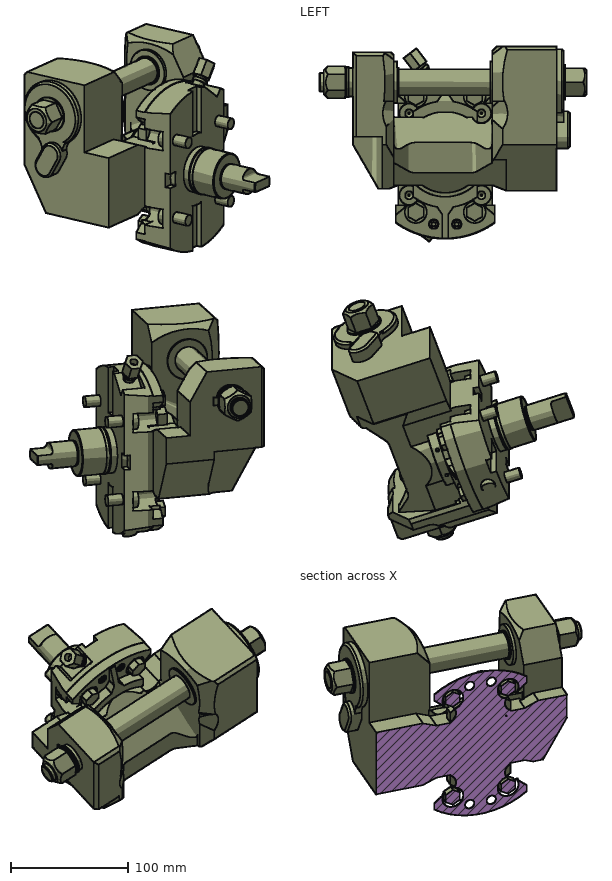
import cadquery as cq
import math

TAN30 = math.tan(math.radians(30))
TAN60 = math.tan(math.radians(60))
HEX_RATIO = 2 / math.sqrt(3)
FAR = 457
OVERLAP = 1.1

body_left = -113.3
body_right = -24.7
body_bottom = -31.3
ledge_z = 31.5
bevel_start_z = 8.2
edge_chamfer = 3.0

front_outer = -95.0
front_inner = -40.0
front_top = 92.0
front_back_x = -50.0
front_inner_bevel = 9.0
front_top_bevel = 3.9
front_top_arc = 59.5
front_side_arc = 84.5

rear_inner = 43.9
rear_outer = 78.8
rear_top = 87.0
rear_bottom = -29.5
rear_back_x = -46.0
rear_slope_x = -61.0
rear_inner_bevel = 6.5
rear_top_bevel = 2.3
rear_top_arc = 66.3
rear_side_bevel = 7.5
rear_side_arc = 137.0
rear_recess_top = 15.0
rear_recess_y = 54.0
rear_recess_depth = 45.7
rear_recess_radius = 9.8

base_bevel_y = 52.5
base_bevel_inner_y = 40.2
base_bevel_z = 26.5

saddle_left = -101.5
saddle_right = -49.4
saddle_face_x = -86.8
saddle_face_top = 10.0
saddle_face_bottom = -15.8
saddle_mid_y = (front_inner + rear_inner) / 2
saddle_face_half = 27.0
saddle_recess_half = 41.8
saddle_recess_radius = 8.0
saddle_top_z = 31.8
saddle_fillet_low = 7.5
saddle_fillet_high = 0.7
undercut_y = -51.9
hub_radius = 33.0
bearing_radius = 36.3
bearing_left = -51.6
oil_hole_radius = 1.4
oil_hole_depth = 4.5
oil_hole_angle = 20

pivot_x = -81.8
pivot_z = 61.5
rod_radius = 11.2

flange_radius = 72.2
flange_half_width = 42.3
taper_start_x = -19.9
flange_face_half = 39.0
key_width = 12.5
key_depth = 5.0
key_inner_radius = 32.0
screw_y = 30.8
screw_z = 35.0
counterbore_radius = 8.5
screw_clearance_radius = 8.5
hollow_radius = 22.5
hollow_depth = 10.5
hollow_top_z = 45.2
corners = [(sy * screw_y, sz * screw_z) for sy in (-1, 1) for sz in (-1, 1)]

cover_x = -33.5
cover_radius = 71.7
ring_x = -42.0
ring_radius = 45.5
rib_width = 5.0
rib_tip_x = -35.0
rib_flare = 4.0
cover_bolt_y = 25.1
cover_bolt_z = 49.4
set_screw_y = 9.8
set_screw_z = 59.6

fitting_x = -11.5
fitting_tilt = 37.3
fitting_offset = -28.3
fitting_seat = 63.3
plug_end = 67.6


def box(x0, x1, y0, y1, z0, z1):
    return cq.Workplane("XY").box(x1 - x0, y1 - y0, z1 - z0, centered=False).translate((x0, y0, z0))


def cyl_x(x0, x1, radius, y=0, z=0):
    return cq.Workplane("YZ", origin=(x0, y, z)).circle(radius).extrude(x1 - x0)


def cyl_y(y0, y1, radius, x=pivot_x, z=pivot_z):
    return cq.Workplane("XZ", origin=(x, y0, z)).circle(radius).extrude(y0 - y1)


def cyl_z(z0, z1, radius):
    return cq.Workplane("XY", origin=(0, 0, z0)).circle(radius).extrude(z1 - z0)


def prism_y(points, y0, y1):
    """Extrude an X-Z outline from y0 to y1."""
    return cq.Workplane("XZ", origin=(0, y0, 0)).polyline(points).close().extrude(y0 - y1)


def prism_x(points, x0, x1):
    """Extrude a Y-Z outline from x0 to x1."""
    return cq.Workplane("YZ", origin=(x0, 0, 0)).polyline(points).close().extrude(x1 - x0)


def prism_z(points, z0, z1):
    """Extrude an X-Y outline from z0 to z1."""
    return cq.Workplane("XY", origin=(0, 0, z0)).polyline(points).close().extrude(z1 - z0)


def hex_x(x0, x1, flats, y, z):
    """Hexagon along X with corners at +Z and -Z."""
    head = cq.Workplane("YZ").polygon(6, flats * HEX_RATIO).extrude(x1 - x0)
    return head.rotate((0, 0, 0), (1, 0, 0), 30).translate((x0, y, z))


def bevel_60_x(z):
    """X of the steep front bevel at height z."""
    return body_left + (bevel_start_z - z) / TAN60


def saddle_top(x):
    return saddle_face_top + (x - saddle_face_x) * TAN30


def saddle_bottom(x):
    return saddle_face_bottom - (x - saddle_face_x) * TAN30


def bulged_bevel(inner_y, outward, center_x, center_z, radius):
    """Space kept by a 45 degree bevel that follows a circle on the inner face of an arm."""
    depth = 27.5
    cone = cq.Solid.makeCone(radius, radius + depth, depth,
                             cq.Vector(center_x, inner_y, center_z), cq.Vector(0, outward, 0))
    behind = cyl_y(inner_y + outward * depth, inner_y + outward * FAR, FAR, center_x, center_z)
    return cq.Workplane(cone).union(behind)


def bevel_upper_arm(arm, inner_y, outward, top, top_bevel, top_arc, side_bevel, side_arc):
    """Bevels the top and -X edges of an arm's inner face, down to the hollow beside the screw."""
    over = bulged_bevel(inner_y, outward, pivot_x, top - top_bevel - top_arc, top_arc)
    side = bulged_bevel(inner_y, outward, body_left + side_bevel + side_arc, pivot_z, side_arc)
    below = box(-FAR, FAR, -FAR, FAR, -FAR, hollow_top_z)
    return arm.intersect(over.intersect(side).union(below))


def inner_corner_cut(inner_y, outward, size):
    """Upright 45 degree bevel on the -X corner beside the saddle."""
    points = [
        (body_left, inner_y),
        (body_left + size, inner_y),
        (body_left, inner_y + outward * size),
    ]
    return prism_z(points, -FAR, FAR)


def base_edge_cut(x0, side):
    """Bevels the top and bottom of the base towards the flange screws."""
    cut = None
    for z_edge in (ledge_z, body_bottom):
        up = math.copysign(1, z_edge)
        points = [
            (side * base_bevel_y, z_edge),
            (side * base_bevel_inner_y, up * base_bevel_z),
            (0, up * base_bevel_z),
            (0, up * FAR),
            (side * base_bevel_y, up * FAR),
        ]
        start = x0 if up > 0 else body_left
        band = prism_x(points, start, body_right)
        cut = band if cut is None else cut.union(band)
    return cut


def front_arm():
    outline = [
        (body_left, bevel_start_z),
        (body_left, front_top - edge_chamfer),
        (body_left + edge_chamfer, front_top),
        (front_back_x, front_top),
        (front_back_x, ledge_z),
        (body_right, ledge_z),
        (body_right, body_bottom),
        (bevel_60_x(body_bottom), body_bottom),
    ]
    arm = prism_y(outline, front_outer, front_inner)
    arm = bevel_upper_arm(arm, front_inner, -1, front_top, front_top_bevel, front_top_arc,
                          front_inner_bevel, front_side_arc)
    arm = arm.cut(inner_corner_cut(front_inner, -1, front_inner_bevel))
    arm = arm.cut(base_edge_cut(front_back_x, -1))
    undercut = [
        (-FAR, saddle_bottom(-FAR)),
        (0, saddle_bottom(0)),
        (0, -FAR),
        (-FAR, -FAR),
    ]
    return arm.cut(prism_y(undercut, undercut_y, 0))


def rear_arm():
    outline = [
        (body_left, bevel_start_z),
        (body_left, rear_top - edge_chamfer),
        (body_left + edge_chamfer, rear_top),
        (rear_slope_x, rear_top),
        (rear_back_x, pivot_z),
        (rear_back_x, ledge_z),
        (body_right, ledge_z),
        (body_right, rear_bottom),
        (bevel_60_x(rear_bottom), rear_bottom),
    ]
    arm = prism_y(outline, rear_inner, rear_outer)
    arm = arm.union(box(rear_back_x, body_right, base_bevel_inner_y, rear_outer, rear_bottom, ledge_z))
    arm = bevel_upper_arm(arm, rear_inner, 1, rear_top, rear_top_bevel, rear_top_arc,
                          rear_side_bevel, rear_side_arc)
    arm = arm.cut(inner_corner_cut(rear_inner, 1, rear_inner_bevel))
    arm = arm.cut(base_edge_cut(rear_back_x, 1))
    outer_edge = [
        (body_left, rear_outer),
        (body_left + edge_chamfer, rear_outer),
        (body_left, rear_outer - edge_chamfer),
    ]
    arm = arm.cut(prism_z(outer_edge, -FAR, FAR))
    flank_foot_y = rear_outer - (bevel_start_z - rear_bottom) / TAN60
    flank = [
        (rear_outer, bevel_start_z),
        (flank_foot_y, rear_bottom),
        (rear_outer, rear_bottom),
    ]
    arm = arm.cut(prism_x(flank, body_left, body_right))
    recess = box(body_left - FAR, body_left + rear_recess_depth, rear_recess_y, FAR, -FAR, rear_recess_top)
    recess = recess.edges("|Z and >X and <Y").fillet(rear_recess_radius)
    return arm.cut(recess)


def saddle_recess():
    """Tapered hollow in the -X side of the saddle, midway between the arms."""
    outline = [
        (saddle_left, saddle_mid_y - saddle_recess_half),
        (saddle_face_x, saddle_mid_y - saddle_face_half),
        (saddle_face_x, saddle_mid_y + saddle_face_half),
        (saddle_left, saddle_mid_y + saddle_recess_half),
    ]
    return prism_z(outline, -FAR, FAR).edges("|Z and >X").fillet(saddle_recess_radius)


def saddle():
    outline = [
        (saddle_left, saddle_bottom(saddle_left)),
        (saddle_left, saddle_top(saddle_left)),
        (body_right, saddle_top(body_right)),
        (body_right, saddle_bottom(body_right)),
    ]
    wedge = prism_y(outline, front_inner - OVERLAP, rear_inner + OVERLAP)
    block = box(-FAR, saddle_right, front_inner - OVERLAP, rear_inner + OVERLAP, -base_bevel_z, saddle_top_z)
    base = box(saddle_right, body_right, -base_bevel_inner_y - OVERLAP, base_bevel_inner_y + OVERLAP,
               -base_bevel_z, base_bevel_z)
    hub = cyl_x(-FAR, bearing_left, hub_radius)
    bearing = cyl_x(bearing_left, body_right, bearing_radius)
    body = block.union(base).union(hub).union(bearing).intersect(wedge)
    for side in (-1, 1):
        hole = cq.Workplane("XY", origin=((bearing_left + ring_x) / 2, 0, -bearing_radius - OVERLAP))
        hole = hole.circle(oil_hole_radius).extrude(oil_hole_depth + OVERLAP)
        body = body.cut(hole.rotate((0, 0, 0), (1, 0, 0), side * oil_hole_angle))
    return body


def saddle_corner(inner_y, outward):
    """Hollow corner between the saddle slope and an arm, narrowing towards the flange."""
    sections = []
    for x, r in ((saddle_left, saddle_fillet_low), (saddle_right, saddle_fillet_high)):
        section = (
            cq.Workplane("YZ", origin=(x, inner_y, saddle_top(x)))
            .moveTo(outward * OVERLAP, -OVERLAP)
            .lineTo(-outward * r, -OVERLAP)
            .lineTo(-outward * r, 0)
            .threePointArc((-outward * r * (1 - math.sqrt(0.5)), r * (1 - math.sqrt(0.5))), (0, r))
            .lineTo(outward * OVERLAP, r)
            .close()
        )
        sections.append(section.wires().val())
    return cq.Workplane(cq.Solid.makeLoft(sections, True))


def tool_clearance():
    """Access to the flange screws: bores through the base and hollows in the arm corners."""
    cut = None
    for y, z in corners:
        start = -FAR if y < 0 else saddle_right
        bore = cyl_x(start, body_right, screw_clearance_radius, y, z)
        if z > 0:
            cone = cq.Solid.makeCone(hollow_radius, screw_clearance_radius, hollow_depth,
                                     cq.Vector(body_left, y, z), cq.Vector(1, 0, 0))
            bore = bore.union(cq.Workplane(cone))
        cut = bore if cut is None else cut.union(bore)
    return cut


def clamp_bolt():
    flats = 24.0
    corner_width = flats * HEX_RATIO
    bolt = cyl_y(front_outer, rear_outer + OVERLAP, rod_radius)
    collar_radius = 17.8
    front_collar = 1.5
    rear_collar = 2.7
    sleeve_radius = 12.5
    sleeve_length = 4.0
    bolt = bolt.union(cyl_y(front_inner - OVERLAP, front_inner + front_collar, collar_radius))
    bolt = bolt.union(cyl_y(rear_inner - rear_collar, rear_inner + OVERLAP, collar_radius))
    bolt = bolt.union(cyl_y(rear_inner - sleeve_length, rear_inner, sleeve_radius))
    head_seat = front_outer - 7.5
    head_end = -120.6
    washer_radius = 15.0
    tip_radius = 7.3
    tip_height = 0.2
    bolt = bolt.union(cyl_y(head_seat, front_outer, washer_radius))
    head = cq.Workplane("XZ", origin=(pivot_x, head_seat, pivot_z))
    head = head.polygon(6, corner_width).extrude(head_seat - head_end)
    rounding = cyl_y(head_end, head_seat, corner_width / 2).faces("<Y").chamfer(3.0, 3.7)
    bolt = bolt.union(head.intersect(rounding))
    bolt = bolt.union(cyl_y(head_end - tip_height, head_seat, tip_radius))
    bushing_radius = 12.3
    tab_start = 82.3
    tab_end = 83.9
    tab_washer_radius = 13.0
    tab_length = 16.2
    tab_half_width = 3.5
    nut_start = 85.5
    nut_end = 103.7
    thread_end = 107.6
    thread_radius = 8.0
    bolt = bolt.union(cyl_y(rear_outer - OVERLAP, nut_start, bushing_radius))
    bolt = bolt.union(cyl_y(tab_start, tab_end, tab_washer_radius))
    bolt = bolt.union(box(pivot_x, pivot_x + tab_length, tab_start, tab_end,
                          pivot_z - tab_half_width, pivot_z + tab_half_width))
    nut = cq.Workplane("XZ").polygon(6, corner_width).extrude(nut_start - nut_end)
    nut = nut.rotate((0, 0, 0), (0, 1, 0), 30).translate((pivot_x, nut_start, pivot_z))
    rounding = cyl_y(nut_start, nut_end, corner_width / 2).faces(">Y").chamfer(3.7)
    bolt = bolt.union(nut.intersect(rounding))
    return bolt.union(cyl_y(nut_end - OVERLAP, thread_end, thread_radius).faces(">Y").chamfer(1.0))


def eccentric_plate():
    """Round bolt plate with a neck running down to a taller slot-shaped key."""
    plate_height = 6.2
    plate_radius = 28.3
    edge = 1.8
    key_height = 11.5
    key_radius = 9.5
    key_low = (-85.2, 14.5)
    key_high = (-78.0, 27.2)
    plate = cyl_y(front_outer - plate_height, front_outer + OVERLAP, plate_radius).faces("<Y").chamfer(edge)
    neck = (
        cq.Workplane("XZ", origin=(0, front_outer + OVERLAP, 0))
        .moveTo(-95.5, 38.2)
        .threePointArc((-91.6, 33.5), (-90.3, 27.2))
        .lineTo(key_high[0], key_high[1])
        .lineTo(-68.8, 30.6)
        .threePointArc((-67.6, 35.5), (-65.0, 39.0))
        .close()
        .extrude(plate_height + OVERLAP)
    )
    plate = plate.union(neck)
    mid = [(a + b) / 2 for a, b in zip(key_low, key_high)]
    dx = key_high[0] - key_low[0]
    dz = key_high[1] - key_low[1]
    key = cq.Workplane("XZ", origin=(mid[0], front_outer + OVERLAP, mid[1]))
    key = key.slot2D(math.hypot(dx, dz) + 2 * key_radius, 2 * key_radius, math.degrees(math.atan2(dz, dx)))
    key = key.extrude(key_height + OVERLAP).faces("<Y").chamfer(edge)
    return plate.union(key)


def flange():
    disc = cyl_x(body_right, 0, flange_radius)
    sides = [
        (body_right, flange_half_width),
        (taper_start_x, flange_half_width),
        (0, flange_face_half),
        (0, -flange_face_half),
        (taper_start_x, -flange_half_width),
        (body_right, -flange_half_width),
    ]
    plate = disc.intersect(prism_z(sides, -FAR, FAR))
    slot = box(-key_depth, 0, -key_width / 2, key_width / 2, -FAR, FAR)
    slots = slot.union(slot.rotate((0, 0, 0), (1, 0, 0), 90))
    return plate.cut(slots.cut(cyl_x(-key_depth, 0, key_inner_radius)))


def flange_screws():
    head_start = -12.8
    head_seat = -7.3
    pin_end = 13.3
    screw_head_radius = 8.2
    pin_radius = 4.8
    socket_radius = 3.5
    socket_tip = 0.7
    socket_depth = 4.5
    pockets = None
    screws = None
    for y, z in corners:
        pocket = cyl_x(-FAR, head_seat, counterbore_radius, y, z).intersect(
            box(cover_x, 0, -FAR, FAR, -FAR, FAR))
        y0, y1 = sorted((y, math.copysign(FAR, y)))
        pocket = pocket.union(box(body_right, head_seat, y0, y1,
                                  z - counterbore_radius, z + counterbore_radius))
        screw = cyl_x(head_start, head_seat + OVERLAP, screw_head_radius, y, z)
        socket = cq.Solid.makeCone(socket_radius, socket_tip, socket_depth,
                                   cq.Vector(head_start, y, z), cq.Vector(1, 0, 0))
        screw = screw.cut(cq.Workplane(socket))
        screw = screw.union(cyl_x(head_seat, pin_end, pin_radius, y, z))
        pockets = pocket if pockets is None else pockets.union(pocket)
        screws = screw if screws is None else screws.union(screw)
    return pockets, screws


def upper_cover():
    """Clamp cover above the spindle; the lower one is its mirror image."""
    half = flange_half_width
    corner_z = 51.9
    corner_y = 35.0
    low_z = 45.7
    foot_y = 30.5
    ring_half = 27.5
    ring_low_z = 22.8
    bolt_pocket_radius = 9.4
    bolt_flats = 13.3
    bolt_end = -39.0
    set_screw_pocket_radius = 4.0
    set_screw_radius = 3.5
    set_screw_socket = 3.5
    pocket_depth = 1.1
    flare_length = 6.0
    root_z = ring_radius - 2.3
    rim_z = cover_radius - 0.2
    bury = 2.3
    outline = [
        (-half, corner_z),
        (-corner_y, low_z),
        (-foot_y, bearing_radius),
        (foot_y, bearing_radius),
        (corner_y, low_z),
        (half, corner_z),
        (half, FAR),
        (-half, FAR),
    ]
    cover = cyl_x(cover_x, body_right + OVERLAP, cover_radius)
    cover = cover.intersect(prism_x(outline, cover_x, 0))
    ring_outline = [
        (-ring_half, ring_low_z),
        (ring_half, ring_low_z),
        (ring_half, FAR),
        (-ring_half, FAR),
    ]
    ring = cyl_x(ring_x, body_right + OVERLAP, ring_radius)
    ring = ring.intersect(prism_x(ring_outline, ring_x, 0))
    rib_side = [
        (ring_x, root_z),
        (ring_x, ring_radius),
        (rib_tip_x, rim_z),
        (cover_x + OVERLAP, rim_z),
        (cover_x + OVERLAP, root_z),
    ]
    foot = rib_width / 2 + rib_flare
    rib_face = [
        (-foot, root_z),
        (-foot, ring_radius),
        (-rib_width / 2, ring_radius + flare_length),
        (-rib_width / 2, cover_radius),
        (rib_width / 2, cover_radius),
        (rib_width / 2, ring_radius + flare_length),
        (foot, ring_radius),
        (foot, root_z),
    ]
    rib = prism_y(rib_side, -foot, foot).intersect(prism_x(rib_face, ring_x, 0))
    cover = cover.union(ring).union(rib)
    for side in (-1, 1):
        y = side * cover_bolt_y
        cover = cover.cut(cyl_x(ring_x, cover_x + pocket_depth, bolt_pocket_radius, y, cover_bolt_z))
        cover = cover.union(hex_x(bolt_end, cover_x + bury, bolt_flats, y, cover_bolt_z))
        y = side * set_screw_y
        cover = cover.cut(cyl_x(cover_x, cover_x + pocket_depth, set_screw_pocket_radius, y, set_screw_z))
        cover = cover.union(cyl_x(cover_x + pocket_depth / 2, cover_x + bury,
                                  set_screw_radius, y, set_screw_z))
        cover = cover.cut(hex_x(cover_x, cover_x + bury, set_screw_socket, y, set_screw_z))
    return cover


def spindle():
    body_radius = 19.9
    groove_radius = 18.7
    ring_seal_radius = 20.3
    shaft_radius = 11.2
    shaft_neck = 10.5
    groove_x = (5.5, 6.9)
    seal_end = 9.5
    body_end = 31.5
    neck_end = 33.0
    tip = 68.8
    edge = 0.7
    profile = [
        (-OVERLAP, 0),
        (-OVERLAP, body_radius),
        (groove_x[0], body_radius),
        (groove_x[0], groove_radius),
        (groove_x[1], groove_radius),
        (groove_x[1], ring_seal_radius),
        (seal_end, ring_seal_radius),
        (seal_end, body_radius),
        (body_end - edge, body_radius),
        (body_end, body_radius - edge),
        (body_end, shaft_neck),
        (neck_end, shaft_neck),
        (neck_end, shaft_radius),
        (tip - edge, shaft_radius),
        (tip, shaft_radius - edge),
        (tip, 0),
    ]
    shaft = cq.Workplane("XY").polyline(profile).close().revolve(360, (0, 0), (1, 0))
    tang_start = 54.5
    tang_thickness = 8.5
    tang_half = tang_thickness / 2
    tang_fillet = 2.7
    for side in (-1, 1):
        z0, z1 = sorted((side * tang_half, side * FAR))
        flat = box(tang_start, FAR, -FAR, FAR, z0, z1)
        inner = "<Z" if side > 0 else ">Z"
        shaft = shaft.cut(flat.edges("|Y and <X").edges(inner).fillet(tang_fillet))
    return shaft


def place_tilted(shape, side):
    """Turn a shape standing on Z into the leaning fitting axis, above or below the spindle."""
    shape = shape.translate((fitting_x, fitting_offset, 0))
    shape = shape.rotate((0, 0, 0), (1, 0, 0), -fitting_tilt)
    return shape if side > 0 else shape.mirror("XY")


def fitting_parts():
    hex_start = 72.7
    hex_end = 86.8
    flats = 14.0
    neck_radius = 5.0
    collar_radius = 6.0
    collar_height = 2.7
    bore_radius = 3.2
    bore_depth = 6.9
    plug_radius = 6.2
    plug_length = 18.3
    seat_outer = 11.5
    seat_inner = 17.0
    root = 4.5
    seat_cut = box(taper_start_x - fitting_x, -fitting_x + 2.3, -seat_outer, seat_inner, fitting_seat, FAR)
    nut = cq.Workplane("XY", origin=(0, 0, hex_start)).polygon(6, flats * HEX_RATIO)
    nut = nut.extrude(hex_end - hex_start)
    fitting = cyl_z(fitting_seat - root, hex_start + OVERLAP, neck_radius)
    fitting = fitting.union(cyl_z(fitting_seat + root, fitting_seat + root + collar_height, collar_radius))
    fitting = fitting.union(nut).cut(cyl_z(hex_end - bore_depth, hex_end, bore_radius))
    plug = cyl_z(plug_end - plug_length, plug_end, plug_radius)
    return place_tilted(seat_cut, 1), place_tilted(fitting, 1), place_tilted(plug, -1)


body = front_arm().union(rear_arm()).union(saddle())
body = body.union(saddle_corner(front_inner, -1)).union(saddle_corner(rear_inner, 1))
body = body.cut(saddle_recess()).cut(tool_clearance())

cover = upper_cover()
seat_cut, fitting, plug = fitting_parts()
pockets, screws = flange_screws()
head = flange().cut(seat_cut).union(cover).union(cover.mirror("XY"))
head = head.cut(pockets).union(screws).union(spindle()).union(fitting).union(plug)

result = body.union(head).union(clamp_bolt()).union(eccentric_plate())